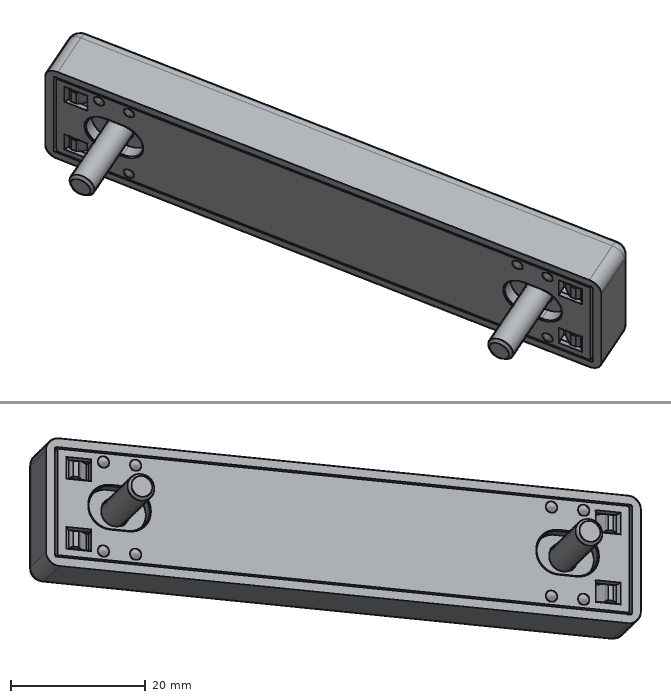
import cadquery as cq


LENGTH = 93.0
HEIGHT = 20.0
TOTAL_DEPTH = 20.4
HOUSING_DEPTH = 9.5
CORNER_RADIUS = 2.0
BACK_EDGE_RADIUS = 1.95
RIM_WIDTH = 1.4
RECESS_CORNER_RADIUS = 0.4

PLATE_LENGTH = LENGTH - 2 * RIM_WIDTH
PLATE_HEIGHT = HEIGHT - 2 * RIM_WIDTH
PLATE_THICKNESS = 3.2
PLATE_DRAFT_X = 0.5
PLATE_DRAFT_Z = 0.3

SLOT_LENGTH = 9.9
SLOT_WIDTH = 7.1
SLOT_DEPTH = 2.0
SLOT_CHAMFER = 0.2
CLEARANCE_HOLE_DIAMETER = 4.5

STUD_SPACING = 70.0
STUD_DIAMETER = 4.2
STUD_TIP_CHAMFER = 0.5
STUD_PROJECTION = TOTAL_DEPTH - HOUSING_DEPTH
STUD_EMBED = 2.8

BUMP_DIAMETER = 1.8
BUMP_HEIGHT = 0.6
BUMP_OFFSET_X = 2.5
BUMP_OFFSET_Z = 7.0

POCKET_LENGTH = 3.9
POCKET_HEIGHT = 3.4
POCKET_OUTER_DEPTH = 0.6
POCKET_INNER_DEPTH = 1.6
POCKET_OUTER_DRAFT = 0.6
POCKET_SIDE_DRAFT = 0.3
POCKET_FLOOR_HEIGHT = POCKET_HEIGHT - 2 * POCKET_SIDE_DRAFT
POCKET_CENTRE_X = 41.4
POCKET_CENTRE_Z = 5.5
LATCH_TOP_START = 1.1
LATCH_TOP_DEPTH = 0.1
LATCH_TOP_LENGTH = 0.8
LATCH_STEP_LENGTH = 0.3
LATCH_STEP_DEPTH = 0.2
LATCH_RAMP_GAP = 0.3
LATCH_TOP_HEIGHT = POCKET_FLOOR_HEIGHT - 2 * POCKET_SIDE_DRAFT

SIDES = (-1, 1)
STUD_POSITIONS = [side * STUD_SPACING / 2 for side in SIDES]


def block(length, height, y_front, y_back):
    """Box centred on X and Z between two Y planes."""
    return cq.Workplane("XY").box(length, y_back - y_front, height).translate((0, (y_front + y_back) / 2, 0))


def cylinder(diameter, x, y_start, y_end):
    """Round bar along Y at the given X, on the centre line."""
    return (
        cq.Workplane("XZ", origin=(x, y_start, 0))
        .circle(diameter / 2)
        .extrude(y_start - y_end)
    )


def make_housing():
    """Rounded block with a front recess for the plate and a blind hole for each stud."""
    housing = block(LENGTH, HEIGHT, 0, HOUSING_DEPTH)
    housing = housing.edges("|Y").fillet(CORNER_RADIUS)
    housing = housing.faces(">Y").edges().fillet(BACK_EDGE_RADIUS)
    recess = block(PLATE_LENGTH, PLATE_HEIGHT, 0, PLATE_THICKNESS)
    housing = housing.cut(recess.edges("|Y").fillet(RECESS_CORNER_RADIUS))
    for x in STUD_POSITIONS:
        housing = housing.cut(cylinder(STUD_DIAMETER, x, 0, PLATE_THICKNESS + STUD_EMBED))
    return housing


def prism_along_z(points, z, height):
    """Prism along Z, centred on the given height, from a profile of (X, Y) points."""
    return cq.Workplane("XY", origin=(0, 0, z)).polyline(points).close().extrude(height / 2, both=True)


def prism_along_x(points, x, length):
    """Prism along X, centred on the given X, from a profile of (Z, Y) points."""
    return cq.Workplane("ZY", origin=(x, 0, 0)).polyline(points).close().extrude(length / 2, both=True)


def drafted_section(front_width, back_width):
    """Symmetric plate cross-section that widens from the front face to the back."""
    return [
        (-front_width / 2, 0),
        (front_width / 2, 0),
        (back_width / 2, PLATE_THICKNESS),
        (-back_width / 2, PLATE_THICKNESS),
    ]


def place_inwards(profile, side):
    """Turn (distance in from the pocket's outer end, Y) pairs into (X, Y) points."""
    outer_x = POCKET_CENTRE_X + POCKET_LENGTH / 2
    return [(side * (outer_x - inward), y) for inward, y in profile]


def pocket_section(z, front_height):
    """Profile across a pocket: sides drafted down to the outer depth, then straight to the floor."""
    front = front_height / 2
    floor = POCKET_FLOOR_HEIGHT / 2
    return [
        (z - front, 0),
        (z + front, 0),
        (z + floor, POCKET_OUTER_DEPTH),
        (z + floor, POCKET_INNER_DEPTH),
        (z - floor, POCKET_INNER_DEPTH),
        (z - floor, POCKET_OUTER_DEPTH),
    ]


def make_latch_pocket(side, z):
    """Pocket that deepens inwards, with a sloped outer end and drafted sides."""
    lengthwise = [
        (0, 0),
        (POCKET_OUTER_DRAFT, POCKET_OUTER_DEPTH),
        (POCKET_LENGTH - LATCH_RAMP_GAP, POCKET_INNER_DEPTH),
        (POCKET_LENGTH, POCKET_INNER_DEPTH),
        (POCKET_LENGTH, 0),
    ]
    crosswise = pocket_section(z, POCKET_HEIGHT)
    pocket = prism_along_z(place_inwards(lengthwise, side), z, POCKET_HEIGHT)
    return pocket.intersect(prism_along_x(crosswise, side * POCKET_CENTRE_X, POCKET_LENGTH))


def make_latch(side, z):
    """Wedge on the pocket floor: sloped outer flank, flat top, small step, long ramp inwards."""
    top_end = LATCH_TOP_START + LATCH_TOP_LENGTH
    lengthwise = [
        (POCKET_OUTER_DRAFT, POCKET_OUTER_DEPTH),
        (LATCH_TOP_START, LATCH_TOP_DEPTH),
        (top_end, LATCH_TOP_DEPTH),
        (top_end + LATCH_STEP_LENGTH, LATCH_TOP_DEPTH + LATCH_STEP_DEPTH),
        (POCKET_LENGTH - LATCH_RAMP_GAP, POCKET_INNER_DEPTH),
    ]
    crosswise = pocket_section(z, LATCH_TOP_HEIGHT)
    latch = prism_along_z(place_inwards(lengthwise, side), z, POCKET_HEIGHT)
    return latch.intersect(prism_along_x(crosswise, side * POCKET_CENTRE_X, POCKET_LENGTH))


def make_slot(x):
    """Blind slot with a small chamfer around its mouth."""
    slot = cq.Workplane("XZ", origin=(x, 0, 0)).slot2D(
        SLOT_LENGTH - 2 * SLOT_CHAMFER, SLOT_WIDTH - 2 * SLOT_CHAMFER
    )
    mouth = cq.Workplane("XZ", origin=(x, 0, 0)).slot2D(SLOT_LENGTH, SLOT_WIDTH)
    return slot.extrude(-SLOT_DEPTH).union(mouth.extrude(-SLOT_CHAMFER, taper=45))


def make_bump(x, z):
    """Low cone standing on the front of the plate."""
    cone = cq.Solid.makeCone(
        BUMP_DIAMETER / 2, 0, BUMP_HEIGHT, cq.Vector(x, 0, z), cq.Vector(0, -1, 0)
    )
    return cq.Workplane(cone)


def make_plate():
    """Plate with drafted edges, stud slots and holes, latch pockets and bumps."""
    plate = block(PLATE_LENGTH, PLATE_HEIGHT, 0, PLATE_THICKNESS)
    plate = plate.edges("|Y").fillet(RECESS_CORNER_RADIUS)
    front_length = PLATE_LENGTH - 2 * PLATE_DRAFT_X
    front_height = PLATE_HEIGHT - 2 * PLATE_DRAFT_Z
    lengthwise = drafted_section(front_length, PLATE_LENGTH)
    crosswise = drafted_section(front_height, PLATE_HEIGHT)
    plate = plate.intersect(prism_along_z(lengthwise, 0, PLATE_HEIGHT))
    plate = plate.intersect(prism_along_x(crosswise, 0, PLATE_LENGTH))
    for x in STUD_POSITIONS:
        plate = plate.cut(make_slot(x))
        plate = plate.cut(cylinder(CLEARANCE_HOLE_DIAMETER, x, 0, PLATE_THICKNESS))
        for side in SIDES:
            for level in SIDES:
                plate = plate.union(make_bump(x + side * BUMP_OFFSET_X, level * BUMP_OFFSET_Z))
    for side in SIDES:
        for level in SIDES:
            z = level * POCKET_CENTRE_Z
            plate = plate.cut(make_latch_pocket(side, z))
            plate = plate.union(make_latch(side, z))
    return plate


def make_stud(x):
    """Plain round stud with a chamfered tip."""
    stud = cylinder(STUD_DIAMETER, x, -STUD_PROJECTION, PLATE_THICKNESS + STUD_EMBED)
    return stud.faces("<Y").chamfer(STUD_TIP_CHAMFER)


housing = make_housing()
plate = make_plate()
studs = [make_stud(x) for x in STUD_POSITIONS]

result = cq.Compound.makeCompound([housing.val(), plate.val(), *[stud.val() for stud in studs]])